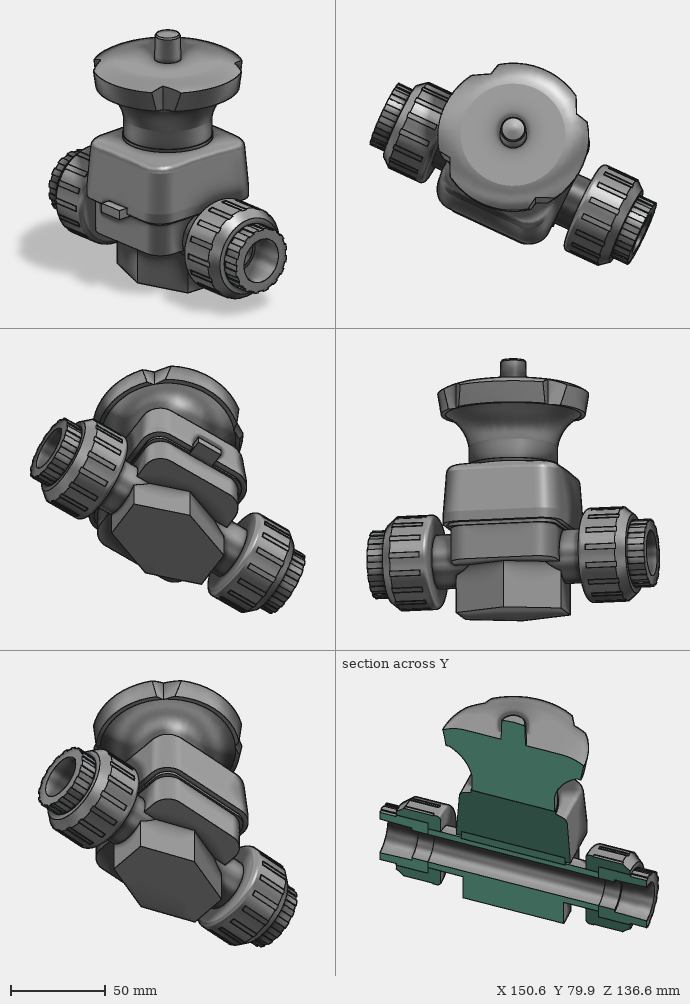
import cadquery as cq
import math


half_length = 75.3
bore_radius = 9.8
stub_radius = 14.3

base_bottom_z = -29.5
block_bottom_z = -4.7
block_top_z = 13.4
skirt_bottom_z = 15.2
diaphragm_top_z = 18.5
draft_start_z = 20.3
shoulder_z = 46.1
collar_bottom_z = 48.5
collar_top_z = 50.1
neck_top_z = 60.2
rim_bottom_z = 77.4
rim_edge_z = 88.4
wheel_top_z = 92.5
pin_edge_z = 105.5
pin_cap_z = 106.5
pin_top_z = 107.1

block_half_x = 28.5
block_half_y = 31.2
block_corner = 10.0
base_end_half_y = 10.7
base_ridge_y = 21.2

bonnet_half_x = 32.1
bonnet_half_y = 34.8
bonnet_corner = 11.1
bonnet_draft_inset = 1.7
shoulder_fillet = 4.2
selection_margin = 0.2
collar_radius = 24.0
top_corner_angle_low = 39.0
top_corner_angle_high = 58.0

diaphragm_inset = 2.7
tab_half_width = 7.1
tab_end_y = -40.0

neck_radius = 23.5
flare_mid_radius = 27.7
flare_mid_z = 70.3
flare_top_radius = 35.8
rim_bottom_radius = 38.1
rim_radius = 39.9
wheel_flat_radius = 27.7
crown_mid_radius = 34.6
crown_mid_z = 91.1
pin_base_radius = 7.1
pin_edge_radius = 6.6
pin_cap_radius = 6.0
notch_count = 4
notch_apex_radius = 35.5
notch_apex_angle = 45.0
notch_wall_angles = (-10.0, 117.0)
notch_wall_length = 18.0

nut_inner_x = 40.8
nut_outer_x = 66.1
nut_radius = 25.0
nut_round_length = 2.1
nut_round_drop = 3.0
nut_cone_length = 5.0
nut_face_radius = 21.0
nut_groove_count = 16
nut_groove_start_x = 45.2
nut_groove_width = 2.9
nut_groove_depth = 0.5

joint_x = 48.2
connector_radius = 17.9
knurl_root_radius = 17.2
knurl_count = 16
socket_depth = 18.0
socket_mouth_radius = 12.0
socket_floor_radius = 11.5


def rounded_block(half_x, half_y, corner, z_low, z_high):
    """Upright block with rounded vertical corners."""
    block = cq.Workplane("XY").workplane(offset=z_low).rect(2 * half_x, 2 * half_y).extrude(z_high - z_low)
    return block.edges("|Z").fillet(corner)


def x_cylinder(radius, x_low, x_high):
    """Cylinder along the flow axis."""
    return cq.Workplane("YZ").workplane(offset=x_low).circle(radius).extrude(x_high - x_low)


def flow_axis_revolve(profile):
    """Revolve a closed (x, radius) profile drawn in the XY plane about the X axis."""
    return profile.close().revolve(360, (0, 0, 0), (1, 0, 0))


def make_valve_body(diaphragm):
    block = rounded_block(block_half_x, block_half_y, block_corner, block_bottom_z, block_top_z)
    base = (
        cq.Workplane("XY")
        .workplane(offset=base_bottom_z)
        .polyline([
            (block_half_x, -base_end_half_y),
            (block_half_x, base_end_half_y),
            (0, base_ridge_y),
            (-block_half_x, base_end_half_y),
            (-block_half_x, -base_end_half_y),
            (0, -base_ridge_y),
        ])
        .close()
        .extrude(block_bottom_z - base_bottom_z)
    )
    pipe = x_cylinder(stub_radius, -joint_x, joint_x)
    bore = x_cylinder(bore_radius, -joint_x, joint_x)
    return block.union(base).union(pipe).cut(diaphragm).cut(bore)


def make_diaphragm():
    plate = rounded_block(
        bonnet_half_x - diaphragm_inset,
        bonnet_half_y - diaphragm_inset,
        bonnet_corner - diaphragm_inset,
        block_top_z,
        diaphragm_top_z,
    )
    tab = cq.Workplane("XY").box(
        2 * tab_half_width, -tab_end_y, diaphragm_top_z - block_top_z, centered=(True, False, False)
    ).translate((0, tab_end_y, block_top_z))
    return plate.union(tab)


def rounded_outline(half_x, half_y, corner, z):
    """Rounded rectangle of four sides and four corner arcs, starting at its +X side."""
    side_x = half_x - corner
    side_y = half_y - corner
    arc_x = side_x + corner * math.cos(math.pi / 4)
    arc_y = side_y + corner * math.sin(math.pi / 4)
    return (
        cq.Workplane("XY")
        .workplane(offset=z)
        .moveTo(half_x, -side_y)
        .lineTo(half_x, side_y)
        .threePointArc((arc_x, arc_y), (side_x, half_y))
        .lineTo(-side_x, half_y)
        .threePointArc((-arc_x, arc_y), (-half_x, side_y))
        .lineTo(-half_x, -side_y)
        .threePointArc((-arc_x, -arc_y), (-side_x, -half_y))
        .lineTo(side_x, -half_y)
        .threePointArc((arc_x, -arc_y), (half_x, -side_y))
        .close()
        .val()
    )


def split_circle(radius, z):
    """Circle of eight arcs that match the sides and corners of a rounded outline."""
    low = top_corner_angle_low
    high = top_corner_angle_high
    ends = [-low, low, high, 180 - high, 180 - low, 180 + low, 180 + high, 360 - high, 360 - low]

    def point(angle):
        return (radius * math.cos(math.radians(angle)), radius * math.sin(math.radians(angle)))

    outline = cq.Workplane("XY").workplane(offset=z).moveTo(*point(ends[0]))
    for start, end in zip(ends, ends[1:]):
        outline = outline.threePointArc(point((start + end) / 2), point(end))
    return outline.close().val()


def make_bonnet(diaphragm):
    skirt = rounded_block(bonnet_half_x, bonnet_half_y, bonnet_corner, skirt_bottom_z, draft_start_z)
    wall_foot = rounded_outline(bonnet_half_x, bonnet_half_y, bonnet_corner, draft_start_z)
    shoulder = rounded_outline(
        bonnet_half_x - bonnet_draft_inset, bonnet_half_y - bonnet_draft_inset, bonnet_corner, shoulder_z
    )
    collar_foot = split_circle(collar_radius, collar_bottom_z)
    walls = cq.Workplane(cq.Solid.makeLoft([wall_foot, shoulder], True))
    sloping_top = cq.Workplane(cq.Solid.makeLoft([shoulder, collar_foot], True))
    shell = walls.union(sloping_top)
    shoulder_band = cq.selectors.BoxSelector(
        (-bonnet_half_x, -bonnet_half_y, shoulder_z - selection_margin),
        (bonnet_half_x, bonnet_half_y, shoulder_z + selection_margin),
    )
    shell = shell.edges(shoulder_band).fillet(shoulder_fillet)
    collar = (
        cq.Workplane("XY")
        .workplane(offset=collar_bottom_z)
        .circle(collar_radius)
        .extrude(collar_top_z - collar_bottom_z)
    )
    return skirt.union(shell).union(collar).cut(diaphragm)


def make_rim_notch():
    """Vertical V-shaped cutter that opens outwards at the first notch position."""
    apex_angle = math.radians(notch_apex_angle)
    apex = (notch_apex_radius * math.cos(apex_angle), notch_apex_radius * math.sin(apex_angle))
    wall_ends = [
        (
            apex[0] + notch_wall_length * math.cos(math.radians(angle)),
            apex[1] + notch_wall_length * math.sin(math.radians(angle)),
        )
        for angle in notch_wall_angles
    ]
    outer_corner = (wall_ends[0][0], wall_ends[1][1])
    return (
        cq.Workplane("XY")
        .workplane(offset=rim_bottom_z)
        .polyline([apex, wall_ends[0], outer_corner, wall_ends[1]])
        .close()
        .extrude(wheel_top_z - rim_bottom_z)
    )


def make_handwheel():
    wheel = (
        cq.Workplane("XZ")
        .moveTo(0, collar_top_z)
        .lineTo(neck_radius, collar_top_z)
        .lineTo(neck_radius, neck_top_z)
        .threePointArc((flare_mid_radius, flare_mid_z), (flare_top_radius, rim_bottom_z))
        .lineTo(rim_bottom_radius, rim_bottom_z)
        .lineTo(rim_radius, rim_edge_z)
        .threePointArc((crown_mid_radius, crown_mid_z), (wheel_flat_radius, wheel_top_z))
        .lineTo(pin_base_radius, wheel_top_z)
        .lineTo(pin_edge_radius, pin_edge_z)
        .lineTo(pin_cap_radius, pin_cap_z)
        .lineTo(0, pin_top_z)
        .close()
        .revolve(360, (0, 0, 0), (0, 1, 0))
    )
    notch = make_rim_notch()
    for index in range(notch_count):
        wheel = wheel.cut(notch.rotate((0, 0, 0), (0, 0, 1), index * 360 / notch_count))
    return wheel


def make_union_nut():
    round_end_x = nut_inner_x + nut_round_length
    cone_start_x = nut_outer_x - nut_cone_length
    diagonal = math.sqrt(0.5)
    nut = flow_axis_revolve(
        cq.Workplane("XY")
        .moveTo(nut_inner_x, stub_radius)
        .lineTo(nut_inner_x, nut_radius - nut_round_drop)
        .threePointArc(
            (
                round_end_x - nut_round_length * diagonal,
                nut_radius - nut_round_drop * (1 - diagonal),
            ),
            (round_end_x, nut_radius),
        )
        .lineTo(cone_start_x, nut_radius)
        .lineTo(nut_outer_x, nut_face_radius)
        .lineTo(nut_outer_x, connector_radius)
        .lineTo(joint_x, connector_radius)
        .lineTo(joint_x, stub_radius)
    )
    groove = cq.Workplane("XY").box(
        nut_outer_x - nut_groove_start_x, nut_groove_width, nut_radius, centered=(False, True, False)
    ).translate((nut_groove_start_x, 0, nut_radius - nut_groove_depth))
    for index in range(nut_groove_count):
        nut = nut.cut(groove.rotate((0, 0, 0), (1, 0, 0), index * 360 / nut_groove_count))
    return nut


def make_end_connector():
    socket_floor_x = half_length - socket_depth
    connector = flow_axis_revolve(
        cq.Workplane("XY")
        .moveTo(joint_x, bore_radius)
        .lineTo(joint_x, connector_radius)
        .lineTo(half_length, connector_radius)
        .lineTo(half_length, socket_mouth_radius)
        .lineTo(socket_floor_x, socket_floor_radius)
        .lineTo(socket_floor_x, bore_radius)
    )
    half_angle = math.radians(360 / knurl_count / 4)
    groove_width = 2 * connector_radius * math.sin(half_angle)
    groove = (
        x_cylinder(2 * connector_radius, nut_outer_x, half_length)
        .cut(x_cylinder(knurl_root_radius, nut_outer_x, half_length))
        .intersect(
            cq.Workplane("XY").box(
                half_length, groove_width, 2 * connector_radius, centered=(False, True, False)
            )
        )
    )
    for index in range(knurl_count):
        connector = connector.cut(groove.rotate((0, 0, 0), (1, 0, 0), index * 360 / knurl_count))
    return connector


diaphragm = make_diaphragm()
valve_body = make_valve_body(diaphragm)
bonnet = make_bonnet(diaphragm)
handwheel = make_handwheel()

union_nuts = []
end_connectors = []
nut = make_union_nut()
connector = make_end_connector()
for turn in (0, 180):
    union_nuts.append(nut.rotate((0, 0, 0), (0, 0, 1), turn).val())
    end_connectors.append(connector.rotate((0, 0, 0), (0, 0, 1), turn).val())

result = cq.Compound.makeCompound(
    [valve_body.val(), diaphragm.val(), bonnet.val(), handwheel.val(), *union_nuts, *end_connectors]
)